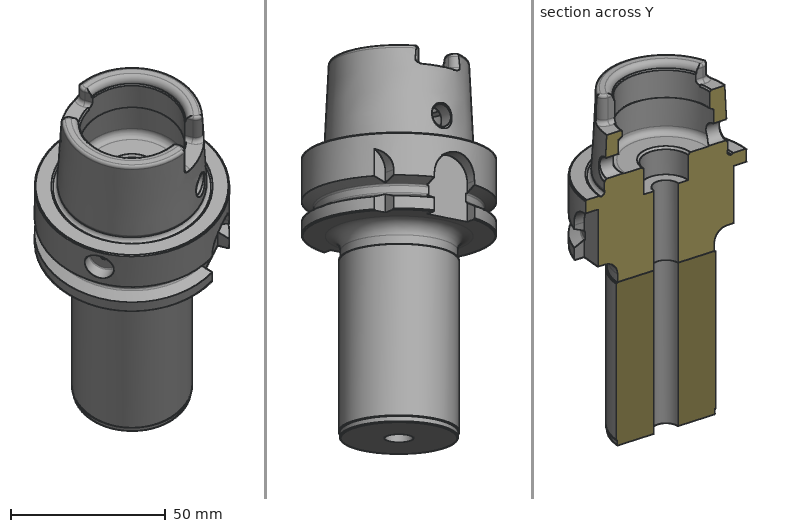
import cadquery as cq
import math


taper_length = 32.0
gauge_radius = 24.0
gauge_height = 6.3
taper_slope = 1 / 20
tip_round = 1.1
root_relief_top = 1.8
root_relief_height = 0.8
root_relief_radius = 24.0
root_relief_round = 1.6
undercut_depth = 0.5
undercut_outer_radius = 26.1
undercut_floor_radius = 25.5

bore_radius = 17.0
bore_lip_round = 2.4
bore_edge_chamfer = 0.6
bore_lip_chamfer = 0.35
clamp_shoulder_height = 19.0
cavity_radius = 18.5
cavity_floor_height = 5.3
cavity_floor_round = 2.5
clamp_angle = 60.0
tube_bore_radius = 8.6
tube_bore_chamfer = 0.8
tube_bore_depth = 10.0
coolant_radius = 4.7

key_slots = [(-1, 6.3), (1, 10.54)]
key_slot_half_width = 6.27
key_slot_end_round = 2.6
key_slot_round_x = 18.55
key_slot_floor_round = 1.5

wrench_hole_height = 9.2
wrench_hole_radius = 3.75
wrench_hole_chamfer = 0.6

flange_radius = 31.5
flange_thickness = 26.0
flange_chamfer = 0.4
gripper_center_z = -17.95
gripper_radius = 27.5
gripper_root_half_width = 1.6
gripper_rim_half_width = 3.5
gripper_root_round = 0.7

drive_slot_radius = 8.0
drive_slot_center_z = -13.0
drive_slot_floor = 26.5
index_notch_wall = 19.9
index_notch_center_z = -12.5

chip_radius = 5.0
chip_z = -7.0
chip_depth = 4.6
chip_floor_round = 0.3
chip_dimple_radius = 1.0

neck_radius = 19.0
neck_round = 4.9
shank_top_z = -34.0
shank_radius = 19.5
shank_bottom_z = -93.9
shank_end_radius = 19.15
shank_end_length = 2.0
shank_step_chamfer = 0.25
shank_end_chamfer = 0.35

span = 2 * flange_radius


def taper_radius(z):
    return gauge_radius - (z - gauge_height) * taper_slope


def make_housing_blank():
    """Turned outside: taper, undercut, flange and neck."""
    flange_bottom = -flange_thickness
    profile = (
        cq.Workplane("XZ")
        .moveTo(0, taper_length)
        .lineTo(taper_radius(taper_length), taper_length)
        .lineTo(taper_radius(root_relief_top), root_relief_top)
        .lineTo(root_relief_radius, root_relief_height)
        .radiusArc((undercut_floor_radius, -undercut_depth), -root_relief_round)
        .lineTo(undercut_outer_radius, 0)
        .lineTo(flange_radius, 0)
        .lineTo(flange_radius, flange_bottom)
        .lineTo(neck_radius + neck_round, flange_bottom)
        .radiusArc((neck_radius, flange_bottom - neck_round), -neck_round)
        .lineTo(neck_radius, shank_top_z)
        .lineTo(0, shank_top_z)
        .close()
    )
    blank = profile.revolve(360, (0, 0, 0), (0, 1, 0))
    rims = cq.selectors.RadiusNthSelector(-1)
    return blank.edges("%CIRCLE").edges(rims).chamfer(flange_chamfer)


def make_gripper_groove():
    """Ring with sloped flanks, cut into the flange rim."""
    ring = (
        cq.Workplane("XZ")
        .polyline([
            (flange_radius, gripper_center_z + gripper_rim_half_width),
            (gripper_radius, gripper_center_z + gripper_root_half_width),
            (gripper_radius, gripper_center_z - gripper_root_half_width),
            (flange_radius, gripper_center_z - gripper_rim_half_width),
        ])
        .close()
        .revolve(360, (0, 0, 0), (0, 1, 0))
    )
    root_edges = cq.selectors.RadiusNthSelector(0)
    return ring.edges("%CIRCLE").edges(root_edges).fillet(gripper_root_round)


def make_clamping_bore():
    """Lip, bore, clamping cone, cavity, coolant tube seat and coolant hole."""
    cone_drop = (cavity_radius - bore_radius) / math.tan(math.radians(clamp_angle))
    lip_bottom = taper_length - bore_lip_round
    lip_radius = bore_radius + bore_lip_chamfer
    tube_bore_bottom = cavity_floor_height - tube_bore_depth
    return (
        cq.Workplane("XZ")
        .moveTo(0, taper_length)
        .lineTo(lip_radius + bore_lip_round, taper_length)
        .radiusArc((lip_radius, lip_bottom), -bore_lip_round)
        .lineTo(bore_radius, lip_bottom - bore_edge_chamfer)
        .lineTo(bore_radius, clamp_shoulder_height)
        .lineTo(cavity_radius, clamp_shoulder_height - cone_drop)
        .lineTo(cavity_radius, cavity_floor_height + cavity_floor_round)
        .radiusArc((cavity_radius - cavity_floor_round, cavity_floor_height), cavity_floor_round)
        .lineTo(tube_bore_radius + tube_bore_chamfer, cavity_floor_height)
        .lineTo(tube_bore_radius, cavity_floor_height - tube_bore_chamfer)
        .lineTo(tube_bore_radius, tube_bore_bottom)
        .lineTo(coolant_radius, tube_bore_bottom)
        .lineTo(coolant_radius, shank_top_z)
        .lineTo(0, shank_top_z)
        .close()
        .revolve(360, (0, 0, 0), (0, 1, 0))
    )


def make_key_slot(side, depth):
    """Radial slot through the taper wall, flaring out with rounded ends."""
    half = key_slot_half_width
    round_end_x = key_slot_round_x + key_slot_end_round
    flare = half + key_slot_end_round
    slot = (
        cq.Workplane("XY", origin=(0, 0, taper_length - depth))
        .moveTo(0, -half)
        .lineTo(key_slot_round_x, -half)
        .radiusArc((round_end_x, -flare), key_slot_end_round)
        .lineTo(flange_radius, -flare)
        .lineTo(flange_radius, flare)
        .lineTo(round_end_x, flare)
        .radiusArc((key_slot_round_x, half), key_slot_end_round)
        .lineTo(0, half)
        .close()
        .extrude(depth)
    )
    floor_edges = cq.selectors.BoxSelector(
        (0.1, -flare, taper_length - depth - 0.1),
        (round_end_x, flare, taper_length - depth + 0.1),
    )
    slot = slot.edges(floor_edges).fillet(key_slot_floor_round)
    return slot if side > 0 else slot.rotate((0, 0, 0), (0, 0, 1), 180)


def make_key_slot_edge_break(side, depth):
    """Conical break where a key slot floor meets the clamping bore."""
    floor_z = taper_length - depth
    cone = cq.Workplane(cq.Solid.makeCone(
        bore_radius, bore_radius + bore_edge_chamfer, bore_edge_chamfer,
        pnt=cq.Vector(0, 0, floor_z - bore_edge_chamfer),
    ))
    floor_width = 2 * (key_slot_half_width - key_slot_floor_round)
    sector = (
        cq.Workplane("XY", origin=(side * flange_radius / 2, 0, floor_z))
        .box(flange_radius, floor_width, 2 * bore_edge_chamfer)
    )
    return cone.intersect(sector)


def make_round_ended_slot(center_y, center_z, x_start, x_end):
    """Slot along X with a round top, open at the bottom of the flange."""
    leg_height = center_z + flange_thickness
    head = cq.Workplane("YZ").center(center_y, center_z).circle(drive_slot_radius)
    legs = (
        cq.Workplane("YZ")
        .center(center_y, center_z - leg_height / 2)
        .rect(2 * drive_slot_radius, leg_height)
    )
    length = x_end - x_start
    slot = head.extrude(length).union(legs.extrude(length))
    return slot.translate((x_start, 0, 0))


def make_wrench_hole():
    """Cross hole through both taper walls with a countersunk mouth on each side."""
    hole = (
        cq.Workplane("YZ", origin=(-span / 2, 0, wrench_hole_height))
        .circle(wrench_hole_radius)
        .extrude(span)
    )
    mouth_x = taper_radius(wrench_hole_height)
    for side in (-1, 1):
        mouth = cq.Solid.makeCone(
            wrench_hole_radius,
            wrench_hole_radius + 2 * wrench_hole_chamfer,
            2 * wrench_hole_chamfer,
            pnt=cq.Vector(side * (mouth_x - wrench_hole_chamfer), 0, wrench_hole_height),
            dir=cq.Vector(side, 0, 0),
        )
        hole = hole.union(cq.Workplane(mouth))
    return hole


def make_chip_pocket():
    """Blind round pocket in the -Y rim with a drill point in its floor."""
    floor_y = -(flange_radius - chip_depth)
    pocket = (
        cq.Workplane("XZ", origin=(0, floor_y, chip_z))
        .circle(chip_radius)
        .extrude(2 * chip_depth)
        .faces(">Y").edges().fillet(chip_floor_round)
    )
    dimple = cq.Solid.makeCone(
        chip_dimple_radius, 0, chip_dimple_radius,
        pnt=cq.Vector(0, floor_y, chip_z), dir=cq.Vector(0, 1, 0),
    )
    return pocket.union(cq.Workplane(dimple))


def make_housing():
    housing = make_housing_blank()
    for x_start, x_end in ((-span, -drive_slot_floor), (drive_slot_floor, span)):
        housing = housing.cut(make_round_ended_slot(0, drive_slot_center_z, x_start, x_end))
    notch_center_y = index_notch_wall + drive_slot_radius
    index_notch = make_round_ended_slot(notch_center_y, index_notch_center_z, -span, -index_notch_wall)
    housing = housing.cut(index_notch)
    housing = housing.cut(make_gripper_groove())

    for side, depth in key_slots:
        housing = housing.cut(make_key_slot(side, depth))
    housing = housing.faces(">Z").edges().fillet(tip_round)

    housing = housing.cut(make_clamping_bore())
    for side, depth in key_slots:
        housing = housing.cut(make_key_slot_edge_break(side, depth))
    return housing.cut(make_wrench_hole()).cut(make_chip_pocket())


def make_shank():
    """Cylindrical shank below the neck, with a reduced end and the coolant hole."""
    step_z = shank_bottom_z + shank_end_length
    return (
        cq.Workplane("XZ")
        .polyline([
            (coolant_radius, shank_top_z),
            (shank_radius - shank_step_chamfer, shank_top_z),
            (shank_radius, shank_top_z - shank_step_chamfer),
            (shank_radius, step_z + shank_step_chamfer),
            (shank_end_radius, step_z),
            (shank_end_radius, shank_bottom_z + shank_end_chamfer),
            (shank_end_radius - shank_end_chamfer, shank_bottom_z),
            (coolant_radius, shank_bottom_z),
        ])
        .close()
        .revolve(360, (0, 0, 0), (0, 1, 0))
    )


housing = make_housing()
shank = make_shank()

result = cq.Compound.makeCompound([housing.val(), shank.val()])